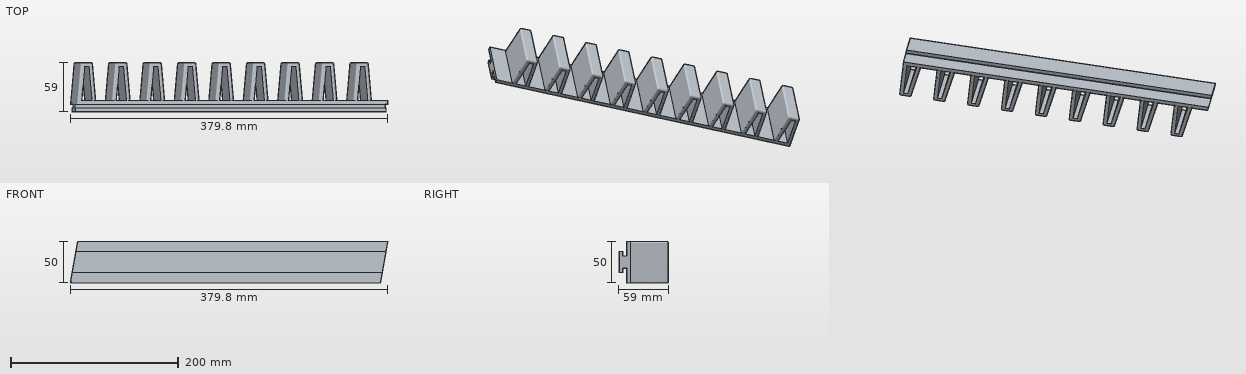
import math

import cadquery as cq

SLANT_HEIGHT = 50.8
LEAN_ANGLE = 10.0
LENGTH = 371.4
PLATE_THICKNESS = 5.0

TOOTH_COUNT = 9
TOOTH_PITCH = 41.25
TOOTH_DEPTH = 50.0
TOOTH_ROOT_WIDTH = 22.6
TOOTH_DRAFT = 5.0
SIDE_WALL = 4.8
TIP_WALL = 4.5
EDGE_RADIUS = 2.0

RAIL_DEPTH = 9.02
HEAD_DEPTH = 4.5
HEAD_HEIGHT = 25.4
NECK_HEIGHT = 15.0
RAIL_RISE = 0.25

HEIGHT = SLANT_HEIGHT * math.cos(math.radians(LEAN_ANGLE))
LEAN = math.tan(math.radians(LEAN_ANGLE))
TAPER = math.tan(math.radians(TOOTH_DRAFT))


def leaning_prism(outline, bottom, height):
    """Loft an XY outline from z = bottom upward, shifting it along the lean."""
    lower = [(x + bottom * LEAN, y) for x, y in outline]
    upper = [(x + height * LEAN, y) for x, y in lower]
    return (
        cq.Workplane("XY", origin=(0, 0, bottom))
        .polyline(lower).close()
        .workplane(offset=height)
        .polyline(upper).close()
        .loft(ruled=True)
    )


def bar(start, end, front, back, height, rise=0):
    """Leaning bar centred the given rise above the plate's mid height."""
    outline = [(start, front), (end, front), (end, back), (start, back)]
    return leaning_prism(outline, (HEIGHT - height) / 2 + rise, height)


def wedge(inset, front, back):
    """Tapered tooth outline at z = 0, its side walls moved inward by inset."""
    left_front = inset + front * TAPER
    left_back = inset + back * TAPER
    return [
        (left_front, front),
        (TOOTH_ROOT_WIDTH - left_front, front),
        (TOOTH_ROOT_WIDTH - left_back, back),
        (left_back, back),
    ]


def make_tooth():
    """Hollow wedge open at top and bottom, all edges rounded but the front ones."""
    body = leaning_prism(wedge(0, 0, TOOTH_DEPTH), 0, HEIGHT)
    body = body.edges("not <Y").fillet(EDGE_RADIUS)
    cavity_outline = wedge(SIDE_WALL, PLATE_THICKNESS, TOOTH_DEPTH - TIP_WALL)
    return body.cut(leaning_prism(cavity_outline, 0, HEIGHT))


def make_plate():
    """Plate behind the rail, starting inside the first tooth, which forms its -X end."""
    return bar(TOOTH_ROOT_WIDTH / 2, LENGTH, 0, PLATE_THICKNESS, HEIGHT)


def make_rail():
    """T-shaped rail along the front of the plate."""
    head_back = HEAD_DEPTH - RAIL_DEPTH
    neck = bar(0, LENGTH, head_back, 0, NECK_HEIGHT, RAIL_RISE)
    head = bar(0, LENGTH, -RAIL_DEPTH, head_back, HEAD_HEIGHT, RAIL_RISE)
    return neck.union(head)


tooth = make_tooth()
result = make_plate().union(make_rail())
for index in range(TOOTH_COUNT):
    result = result.union(tooth.translate((index * TOOTH_PITCH, 0, 0)))